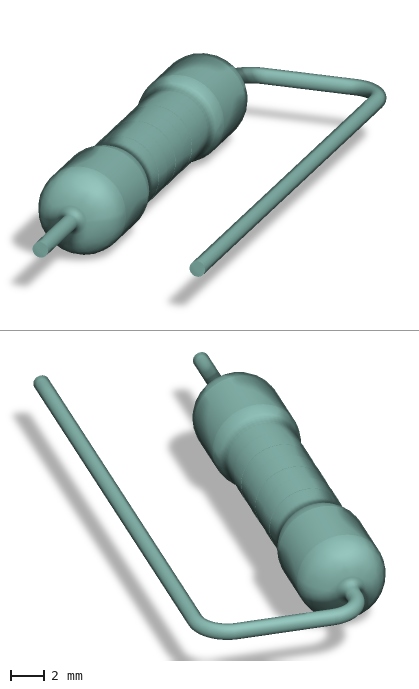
import cadquery as cq

lead_diameter = 1.0
lead_pitch = 10.03
bend_radius = 2.0
overall_length = 34.1

cap_diameter = 5.5
band_diameter = 4.7
gap_diameter = 4.67
dome_radius = 2.0
lead_fillet_radius = 0.5
body_length = 25.15
near_lead_length = 5.52
cap_straight_length = 3.82
shoulder_length = 1.65
stretch_count = 7

lead_radius = lead_diameter / 2
cap_radius = cap_diameter / 2
waist_radius = gap_diameter / 2
body_start = near_lead_length
body_middle = body_start + body_length / 2
waist_end = body_length / 2 - dome_radius - cap_straight_length - shoulder_length
band_length = 2 * waist_end / stretch_count
lead_top = overall_length - lead_radius
bend_start = lead_top - bend_radius


def make_half_body():
    """Half of the body of revolution, from its middle out to the +Y dome."""
    dome_center_x = cap_radius - dome_radius
    dome_start = body_length / 2 - dome_radius
    shoulder_start = waist_end + shoulder_length
    shoulder_middle = ((waist_radius + cap_radius) / 2, waist_end + shoulder_length / 2)

    fillet_center_x = lead_radius + lead_fillet_radius
    center_distance = dome_radius + lead_fillet_radius
    offset_x = fillet_center_x - dome_center_x
    offset_y = (center_distance**2 - offset_x**2) ** 0.5
    fillet_end = dome_start + offset_y
    contact_share = dome_radius / center_distance
    contact = (dome_center_x + offset_x * contact_share, dome_start + offset_y * contact_share)

    profile = (
        cq.Workplane("XY")
        .lineTo(waist_radius, 0)
        .lineTo(waist_radius, waist_end)
        .tangentArcPoint(shoulder_middle, relative=False)
        .tangentArcPoint((cap_radius, shoulder_start), relative=False)
        .lineTo(cap_radius, dome_start)
        .tangentArcPoint(contact, relative=False)
        .tangentArcPoint((lead_radius, fillet_end), relative=False)
        .lineTo(0, fillet_end)
        .close()
    )
    return profile.revolve(360, (0, 0, 0), (0, 1, 0))


def make_body():
    half = make_half_body()
    body = half.union(half.mirror("XZ")).translate((0, body_middle, 0))
    for index in range(1, stretch_count, 2):
        start = body_middle - waist_end + index * band_length
        band = (
            cq.Workplane("XZ", origin=(0, start, 0))
            .circle(band_diameter / 2)
            .extrude(-band_length)
        )
        body = body.union(band)
    return body


def make_lead():
    """One wire through the body, bent over and returned beside it."""
    path = (
        cq.Workplane("XY")
        .lineTo(0, bend_start)
        .tangentArcPoint((bend_radius, lead_top), relative=False)
        .lineTo(lead_pitch - bend_radius, lead_top)
        .tangentArcPoint((lead_pitch, bend_start), relative=False)
        .lineTo(lead_pitch, 0)
    )
    return cq.Workplane("XZ").circle(lead_radius).sweep(path)


result = make_body().union(make_lead())